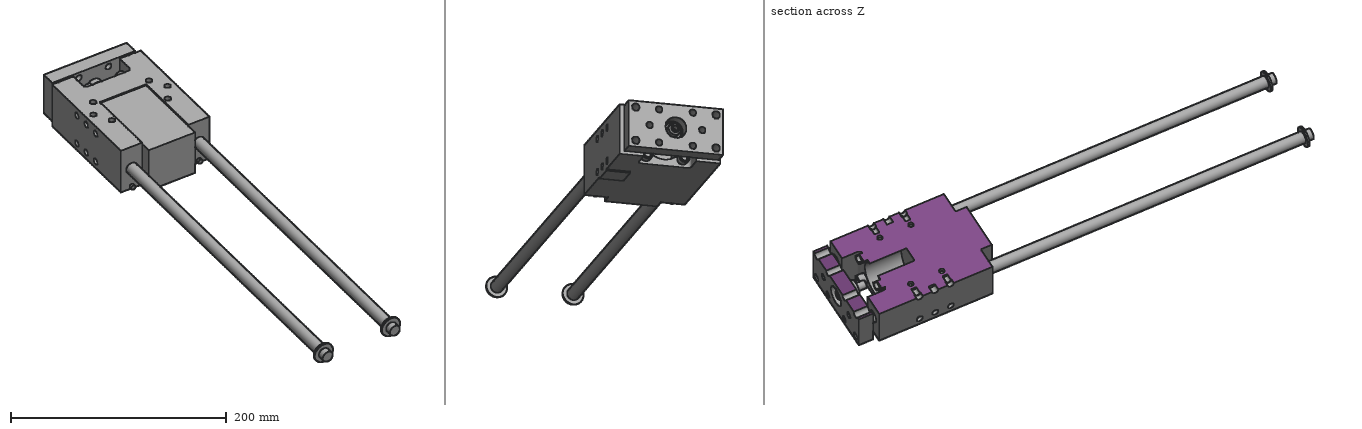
import cadquery as cq
OVERALL_LENGTH = 479.0

BOLT_PITCH = 32.5
BOLT_OFFSET = BOLT_PITCH / 2

PLATE_THICKNESS = 15.0
PLATE_WIDTH = 91.0
PLATE_HEIGHT = 45.0
CORNER_HOLE_DIAMETER = 7.0
CORNER_HOLE_Y = 39.0
SIDE_HOLE_DIAMETER = 6.0
SIDE_HOLE_Y = 25.5
ACCESS_HOLE_DIAMETER = 6.0

COUPLING_BORE_DIAMETER = 20.0
COUPLING_BORE_DEPTH = 11.5
HUB_DIAMETER = 17.0
HUB_STEP = 2.0
HUB_PROJECTION = 5.7
HEAD_DIAMETER = 12.0
HEAD_LENGTH = 8.0
HEAD_CHAMFER = 2.0
HEAD_SOCKET_DIAMETER = 5.0
STUD_DIAMETER = 8.0
STUD_LENGTH = 10.0
STUD_CHAMFER = 0.5

ROD_DIAMETER = 12.0
ROD_OFFSET = 37.0
ROD_END_DIAMETER = 11.0
ROD_END_LENGTH = 6.5
WASHER_DIAMETER = 20.0
WASHER_THICKNESS = 2.0

HOUSING_START = PLATE_THICKNESS + 5.0
HOUSING_LENGTH = 119.5
HOUSING_END = HOUSING_START + HOUSING_LENGTH
HOUSING_WIDTH = 97.0
HOUSING_TOP = 25.0
HOUSING_BOTTOM = -24.0
POCKET_WIDTH = 51.0
POCKET_DEPTH = 20.0
POCKET_FILLET = 4.0
POCKET_FLOOR = HOUSING_START + POCKET_DEPTH

BLOCK_START = 65.5
BLOCK_END = 150.5
BLOCK_TOP = HOUSING_TOP - 1.5
DRIVE_BORE_DIAMETER = 36.0
DRIVE_BORE_DEPTH = 38.5

BOLT_HEAD_Y = 17.5
BOLT_HEAD_DIAMETER = 10.0
BOLT_HEAD_HEIGHT = 7.5
BOLT_SOCKET_DIAMETER = 6.5
BOLT_SOCKET_DEPTH = 4.0

MOUNT_CENTRE_X = 78.5
DOWEL_DIAMETER = 6.0
DOWEL_DEPTH = 7.0
THREAD_DIAMETER = 6.0
THREAD_DEPTH = 5.0
CORE_DIAMETER = 5.0
CORE_DEPTH = 7.0
TOP_THREAD_Y = 30.5
TOP_DOWEL_Y = 40.5

REAR_SCREW_DIAMETER = 5.0
REAR_SCREW_LENGTH = 3.0
REAR_SCREW_Z = -21.0

NAME_PLATE_SIZE = 23.0
NAME_PLATE_THICKNESS = 1.5
NAME_PLATE_X = 75.5


def disc(diameter, start, length, y=0.0, z=0.0):
    """Cylinder along +X that begins at x = start."""
    return cq.Workplane("YZ", origin=(start, y, z)).circle(diameter / 2).extrude(length)


def block(x_range, width, z_range):
    """Box centred on Y = 0."""
    length = x_range[1] - x_range[0]
    height = z_range[1] - z_range[0]
    corner = cq.Workplane("XY", origin=(x_range[0], 0, z_range[0]))
    return corner.box(length, width, height, centered=(False, True, False))


def four_corners(y, z):
    """Points at (+-y, +-z)."""
    return [(side_y * y, side_z * z) for side_y in (-1, 1) for side_z in (-1, 1)]



def make_plate():
    plate = block((0, PLATE_THICKNESS), PLATE_WIDTH, (-PLATE_HEIGHT / 2, PLATE_HEIGHT / 2))
    holes = [(CORNER_HOLE_DIAMETER, point) for point in four_corners(CORNER_HOLE_Y, BOLT_OFFSET)]
    holes += [(ACCESS_HOLE_DIAMETER, point) for point in four_corners(BOLT_OFFSET, BOLT_OFFSET)]
    holes += [(SIDE_HOLE_DIAMETER, (side * SIDE_HOLE_Y, 0)) for side in (-1, 1)]
    for diameter, (y, z) in holes:
        plate = plate.cut(disc(diameter, 0, PLATE_THICKNESS, y, z))
    return plate.cut(disc(COUPLING_BORE_DIAMETER, 0, COUPLING_BORE_DEPTH))


def make_coupling():
    hub_start = COUPLING_BORE_DEPTH - HUB_STEP
    hub_end = PLATE_THICKNESS + HUB_PROJECTION
    head_start = hub_start - HEAD_LENGTH
    hub = disc(HUB_DIAMETER, hub_start, hub_end - hub_start)
    head = disc(HEAD_DIAMETER, head_start, HEAD_LENGTH).faces("<X").chamfer(HEAD_CHAMFER)
    stud = disc(STUD_DIAMETER, hub_end, STUD_LENGTH).faces(">X").chamfer(STUD_CHAMFER)
    socket = disc(HEAD_SOCKET_DIAMETER, head_start, HEAD_LENGTH)
    return hub.union(head).union(stud).cut(socket)


def make_rod(y):
    end_start = OVERALL_LENGTH - ROD_END_LENGTH
    rod = disc(ROD_DIAMETER, PLATE_THICKNESS, end_start - PLATE_THICKNESS, y)
    end = disc(ROD_END_DIAMETER, end_start, ROD_END_LENGTH, y)
    washer = disc(WASHER_DIAMETER, end_start - WASHER_THICKNESS, WASHER_THICKNESS, y)
    return rod.union(washer).union(end)


def make_yoke():
    yoke = make_plate().union(make_coupling())
    for side in (-1, 1):
        yoke = yoke.union(make_rod(side * ROD_OFFSET))
    return yoke



def make_housing_block():
    full_height = (HOUSING_BOTTOM, HOUSING_TOP)
    body = block((HOUSING_START, HOUSING_END), HOUSING_WIDTH, full_height)
    pocket = block((HOUSING_START, POCKET_FLOOR), POCKET_WIDTH, full_height)
    pocket = pocket.edges("|Z and >X").fillet(POCKET_FILLET)
    recess = block((BLOCK_START, HOUSING_END), POCKET_WIDTH, (BLOCK_TOP, HOUSING_TOP))
    rear_block = block((HOUSING_END, BLOCK_END), POCKET_WIDTH, (HOUSING_BOTTOM, BLOCK_TOP))
    body = body.cut(pocket).cut(recess).union(rear_block)
    return body.cut(disc(DRIVE_BORE_DIAMETER, POCKET_FLOOR, DRIVE_BORE_DEPTH))


def add_flange_bolts(body):
    head_start = POCKET_FLOOR - BOLT_HEAD_HEIGHT
    for y, z in four_corners(BOLT_HEAD_Y, BOLT_OFFSET):
        head = disc(BOLT_HEAD_DIAMETER, head_start, BOLT_HEAD_HEIGHT, y, z)
        socket = disc(BOLT_SOCKET_DIAMETER, head_start, BOLT_SOCKET_DEPTH, y, z)
        body = body.union(head).cut(socket)
    return body


def dowel_hole(face):
    """Plain hole that goes in against the normal of the given workplane."""
    return face.circle(DOWEL_DIAMETER / 2).extrude(-DOWEL_DEPTH)


def threaded_hole(face):
    """Wide threaded mouth with a narrower core below it."""
    mouth = face.circle(THREAD_DIAMETER / 2).extrude(-THREAD_DEPTH)
    core = face.circle(CORE_DIAMETER / 2).extrude(-THREAD_DEPTH - CORE_DEPTH)
    return mouth.union(core)


def cut_mounting_holes(body):
    hole_kinds = ((-1, threaded_hole), (0, dowel_hole), (1, threaded_hole))
    for step, make_hole in hole_kinds:
        x = MOUNT_CENTRE_X + step * BOLT_OFFSET
        top_y = TOP_DOWEL_Y if step == 0 else TOP_THREAD_Y
        for side in (-1, 1):
            top_face = cq.Workplane("XY", origin=(x, side * top_y, HOUSING_TOP))
            body = body.cut(make_hole(top_face))
            for z in (-BOLT_OFFSET, BOLT_OFFSET):
                centre = (x, side * HOUSING_WIDTH / 2, z)
                side_face = cq.Workplane(cq.Plane(origin=centre, xDir=(1, 0, 0), normal=(0, side, 0)))
                body = body.cut(make_hole(side_face))
    return body


def fit_rods(body):
    for side in (-1, 1):
        y = side * ROD_OFFSET
        body = body.cut(disc(ROD_DIAMETER, HOUSING_START, HOUSING_LENGTH, y))
        body = body.union(disc(REAR_SCREW_DIAMETER, HOUSING_END, REAR_SCREW_LENGTH, y, REAR_SCREW_Z))
    return body


def add_name_plate(body):
    centre = (
        NAME_PLATE_X,
        (HOUSING_WIDTH - NAME_PLATE_SIZE) / 2,
        HOUSING_BOTTOM - NAME_PLATE_THICKNESS / 2,
    )
    name_plate = cq.Workplane("XY", origin=centre).box(NAME_PLATE_SIZE, NAME_PLATE_SIZE, NAME_PLATE_THICKNESS)
    return body.union(name_plate)


def make_housing():
    body = make_housing_block()
    body = add_flange_bolts(body)
    body = cut_mounting_holes(body)
    body = fit_rods(body)
    return add_name_plate(body)


yoke = make_yoke()
housing = make_housing()
result = cq.Compound.makeCompound([housing.val(), yoke.val()])